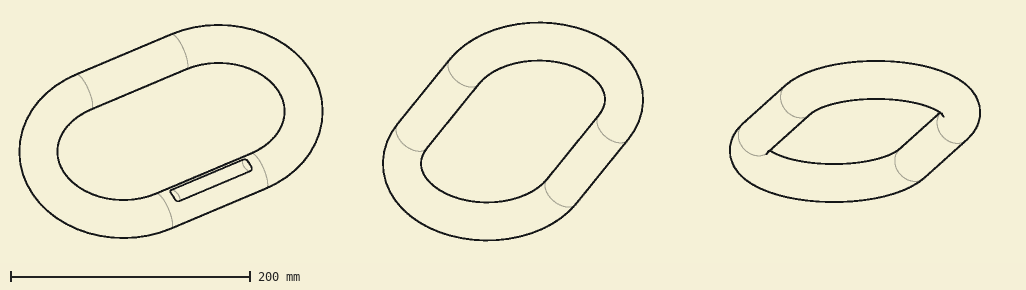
import cadquery as cq
import math

length = 264.0
width = 174.0
bar_diameter = 32.0

flat_width = 13.5
floor_length = 62.3
recess_length = 72.3
end_arc_radius = 13.2

bar_radius = bar_diameter / 2
bend_radius = width / 2 - bar_radius
leg_length = length - width
floor_height = math.sqrt(bar_radius**2 - (flat_width / 2) ** 2)
recess_depth = bar_radius - floor_height
run_out = (recess_length - floor_length) / 2
blend_radius = (run_out**2 + recess_depth**2) / (2 * recess_depth)


def make_link():
    """Round bar following a closed racetrack centreline."""
    centreline = (
        cq.Workplane("XY")
        .moveTo(bend_radius, 0)
        .lineTo(bend_radius, leg_length / 2)
        .threePointArc((0, leg_length / 2 + bend_radius), (-bend_radius, leg_length / 2))
        .lineTo(-bend_radius, -leg_length / 2)
        .threePointArc((0, -leg_length / 2 - bend_radius), (bend_radius, -leg_length / 2))
        .close()
    )
    return cq.Workplane("XZ").center(bend_radius, 0).circle(bar_radius).sweep(centreline)


def make_end_blend(side):
    """Flared plug that curves one end of the floor up to the bar surface."""
    axis_offset = floor_length / 2 + end_arc_radius
    top_radius = end_arc_radius - blend_radius
    mid_height = floor_height + blend_radius * (1 - math.sqrt(0.5))
    mid_radius = end_arc_radius - blend_radius * math.sqrt(0.5)
    return (
        cq.Workplane("XZ")
        .moveTo(0, floor_height)
        .lineTo(end_arc_radius, floor_height)
        .threePointArc((mid_radius, mid_height), (top_radius, floor_height + blend_radius))
        .lineTo(0, floor_height + blend_radius)
        .close()
        .revolve(360, (0, 0, 0), (0, 1, 0))
        .translate((bend_radius, side * axis_offset, 0))
    )


def make_recess():
    """Block removed above the floor, with a blend at each end."""
    recess = (
        cq.Workplane("XY", origin=(bend_radius, 0, floor_height))
        .rect(bar_diameter, recess_length)
        .extrude(recess_depth)
    )
    for side in (-1, 1):
        recess = recess.cut(make_end_blend(side))
    return recess


result = make_link().cut(make_recess())